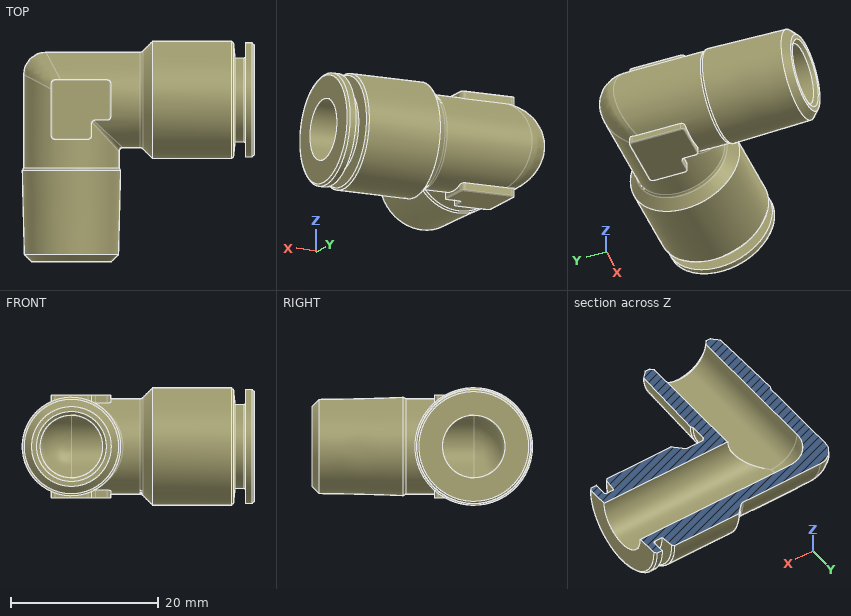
import cadquery as cq
import math

body_radius = 6.5
outer_corner_radius = 3.0
inner_corner_radius = 0.5
corner_round_half_height = 6.1

sleeve_radius = 8.0
sleeve_cone_end = 11.05
sleeve_cone_start = sleeve_cone_end - (sleeve_radius - body_radius)
sleeve_blend_radius = 0.6
sleeve_end = 22.05
sleeve_chamfer = 0.3
sleeve_face_end = 22.25

collet_neck_radius = 5.73
collet_root_radius = 5.83
collet_root_start = 23.43
collet_flange_start = 23.65
collet_flange_radius = 7.78
collet_end = 24.85
collet_chamfer = 0.32

male_large_radius = 6.7
male_small_radius = 6.42
male_shoulder_start = 9.22
male_start = 9.6
male_end = 22.0
male_chamfer = 1.0

bore_radius = 4.25
bore_mouth_radius = 4.75
bore_mouth_depth = bore_mouth_radius - bore_radius

pad_size = 8.1
pad_edge = 2.75
pad_corner_radius = 0.5
pad_face_round = 0.1
pad_half_height = 7.0

x_arm_plane = cq.Plane(origin=(0, 0, 0), xDir=(0, 0, 1), normal=(1, 0, 0))
y_arm_plane = cq.Plane(origin=(0, 0, 0), xDir=(0, 0, 1), normal=(0, -1, 0))


def mitred_arm(plane, length, side):
    """A round arm cut off at 45 degrees through the centre; side is 1 for the +X arm, -1 for the -Y arm."""
    overrun = 2 * body_radius
    reach = 4 * body_radius
    arm = cq.Workplane(plane).workplane(offset=-overrun).circle(body_radius).extrude(overrun + length)
    mitre_triangle = [(-reach, reach), (reach, -reach), (side * reach, side * reach)]
    own_half = cq.Workplane("XY").polyline(mitre_triangle).close().extrude(overrun, both=True)
    return arm.intersect(own_half)


def round_mitre(body, side, radius):
    """Round the upright mitre edge on the outer (-1) or inner (+1) side of the elbow."""
    near = side * body_radius / 2
    far = side * body_radius
    half_height = body_radius / 2
    mitre_edge = cq.selectors.BoxSelector((near, -near, -half_height), (far, -far, half_height))
    return body.edges(mitre_edge).fillet(radius)


def make_elbow():
    x_arm = mitred_arm(x_arm_plane, sleeve_cone_start, 1)
    y_arm = mitred_arm(y_arm_plane, male_start, -1)
    elbow = x_arm.union(y_arm).clean()
    block_side = 4 * male_end
    middle = cq.Workplane("XY").box(block_side, block_side, 2 * corner_round_half_height)
    rounded = round_mitre(elbow.intersect(middle), -1, outer_corner_radius)
    rounded = round_mitre(rounded, 1, inner_corner_radius)
    return rounded.union(elbow.cut(middle))


def make_pads():
    """One L-shaped prism through the elbow; only its two ends show, as pads."""
    far = pad_size - pad_edge
    outline = [
        (-pad_edge, pad_edge),
        (far, pad_edge),
        (far, -pad_edge),
        (pad_edge, -pad_edge),
        (pad_edge, -far),
        (-pad_edge, -far),
    ]
    pads = cq.Workplane("XY").polyline(outline).close().extrude(pad_half_height, both=True)
    pads = pads.edges("|Z").fillet(pad_corner_radius)
    return pads.faces("|Z").edges().fillet(pad_face_round)


def make_sleeve_and_collet():
    """Sleeve and collet, revolved about the X axis."""
    slope = math.radians(45)
    tangent_length = sleeve_blend_radius * math.tan(slope / 2)
    blend_start = sleeve_cone_start - tangent_length
    blend_center_radius = body_radius + sleeve_blend_radius
    blend_middle = (
        blend_start + sleeve_blend_radius * math.sin(slope / 2),
        blend_center_radius - sleeve_blend_radius * math.cos(slope / 2),
    )
    blend_end = (
        blend_start + sleeve_blend_radius * math.sin(slope),
        blend_center_radius - sleeve_blend_radius * math.cos(slope),
    )
    profile = (
        cq.Workplane("XY")
        .moveTo(blend_start, 0)
        .lineTo(blend_start, body_radius)
        .threePointArc(blend_middle, blend_end)
        .lineTo(sleeve_cone_end, sleeve_radius)
        .lineTo(sleeve_end - sleeve_chamfer, sleeve_radius)
        .lineTo(sleeve_end, sleeve_radius - sleeve_chamfer)
        .lineTo(sleeve_face_end, collet_neck_radius)
        .lineTo(collet_root_start, collet_neck_radius)
        .lineTo(collet_flange_start, collet_root_radius)
        .lineTo(collet_flange_start, collet_flange_radius)
        .lineTo(collet_end - collet_chamfer, collet_flange_radius)
        .lineTo(collet_end, collet_flange_radius - collet_chamfer)
        .lineTo(collet_end, 0)
        .close()
    )
    return profile.revolve(360, (0, 0, 0), (1, 0, 0))


def make_male_end():
    """Tapered male end with its shoulder and tip chamfer, revolved about the Y axis."""
    outline = [
        (0, -male_shoulder_start),
        (body_radius, -male_shoulder_start),
        (male_large_radius, -male_start),
        (male_small_radius, -(male_end - male_chamfer)),
        (male_small_radius - male_chamfer, -male_end),
        (0, -male_end),
    ]
    return cq.Workplane("XY").polyline(outline).close().revolve(360, (0, 0, 0), (0, 1, 0))


def make_passage():
    """Bore through both arms, turning through a ball at the centre, with a countersunk male mouth."""
    passage = cq.Workplane("XY").sphere(bore_radius)
    passage = passage.union(cq.Workplane(x_arm_plane).circle(bore_radius).extrude(collet_end))
    passage = passage.union(cq.Workplane(y_arm_plane).circle(bore_radius).extrude(male_end))
    mouth = [
        (0, -male_end),
        (bore_mouth_radius, -male_end),
        (bore_radius, -(male_end - bore_mouth_depth)),
        (0, -(male_end - bore_mouth_depth)),
    ]
    countersink = cq.Workplane("XY").polyline(mouth).close().revolve(360, (0, 0, 0), (0, 1, 0))
    return passage.union(countersink)


body = make_elbow().union(make_sleeve_and_collet()).union(make_male_end()).union(make_pads())
result = body.cut(make_passage())